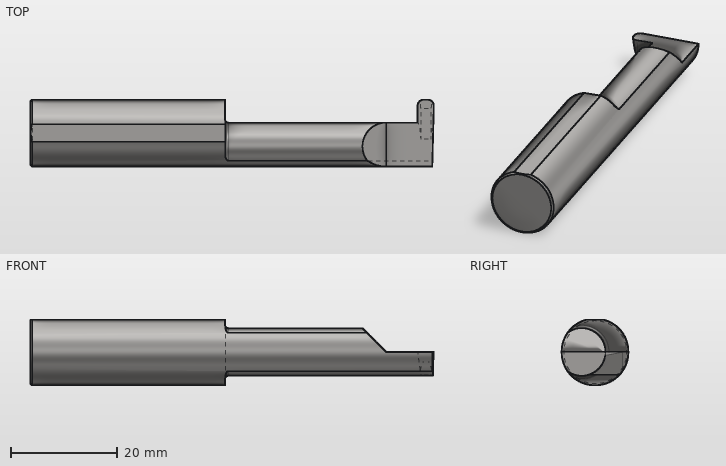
import cadquery as cq
import math

total_length = 76.2
shank_length = 36.8
shank_radius = 6.3
flat_height = 6.1
back_chamfer = 0.4

neck_radius = 4.5
neck_side_y = 2.0
neck_center_y = neck_side_y - neck_radius
root_fillet = 0.6

ramp_end_x = 67.2
ramp_angle = 45.0
rake_z = 0.0
end_clearance_angle = 1.5

hook_width = 3.1
hook_tip_y = 6.3
hook_corner_radius = 1.2
hook_relief_angle = 8.0
hook_depth = neck_radius - 0.2


def make_shank():
    shank = cq.Workplane("YZ").circle(shank_radius).extrude(shank_length)
    shank = shank.faces("<X").chamfer(back_chamfer)
    flat_cut = (
        cq.Workplane("XY", origin=(0, 0, flat_height))
        .rect(2 * total_length, 2 * shank_radius)
        .extrude(shank_radius)
    )
    return shank.cut(flat_cut)


def make_envelope():
    """Full-length cylinder of shank diameter that every other feature stays inside."""
    return cq.Workplane("YZ").circle(shank_radius).extrude(total_length)


def make_neck():
    """Revolve the neck with a concave flare at its root, then trim it to the shank envelope."""
    arc_offset = root_fillet * (1 - math.sqrt(0.5))
    neck = (
        cq.Workplane("XY")
        .moveTo(shank_length, neck_center_y)
        .lineTo(shank_length, neck_side_y + root_fillet)
        .threePointArc(
            (shank_length + arc_offset, neck_side_y + arc_offset),
            (shank_length + root_fillet, neck_side_y),
        )
        .lineTo(total_length, neck_side_y)
        .lineTo(total_length, neck_center_y)
        .close()
        .revolve(360, (0, neck_center_y, 0), (1, neck_center_y, 0))
    )
    return neck.intersect(make_envelope())


def cut_rake(body):
    """Remove everything above the ramp and the flat rake face."""
    rise = 2 * shank_radius
    run = rise / math.tan(math.radians(ramp_angle))
    rake_cut = (
        cq.Workplane("XZ")
        .moveTo(ramp_end_x, rake_z)
        .lineTo(total_length, rake_z)
        .lineTo(total_length, rake_z + rise)
        .lineTo(ramp_end_x - run, rake_z + rise)
        .close()
        .extrude(2 * shank_radius, both=True)
    )
    return body.cut(rake_cut)


def cut_end_clearance(body):
    """Slope the end face back from the hook corner towards -Y."""
    corner_y = hook_tip_y - hook_corner_radius
    setback = (corner_y + shank_radius) * math.tan(math.radians(end_clearance_angle))
    clearance_cut = (
        cq.Workplane("XY")
        .moveTo(total_length, corner_y)
        .lineTo(total_length, -shank_radius)
        .lineTo(total_length - setback, -shank_radius)
        .close()
        .extrude(shank_radius, both=True)
    )
    return body.cut(clearance_cut)


def make_hook():
    """Tooth with relief below its rake-face outline; its inner end is buried in the neck."""
    hook_length = hook_tip_y - neck_center_y
    outline = (
        cq.Sketch()
        .push([(total_length - hook_width / 2, (hook_tip_y + neck_center_y) / 2)])
        .rect(hook_width, hook_length)
        .reset()
        .vertices(">Y")
        .fillet(hook_corner_radius)
    )
    hook = (
        cq.Workplane("XY", origin=(0, 0, rake_z))
        .placeSketch(outline)
        .extrude(-hook_depth, taper=hook_relief_angle)
    )
    return hook.intersect(make_envelope())


tool = make_shank().union(cut_rake(make_neck())).union(make_hook())
result = cut_end_clearance(tool)